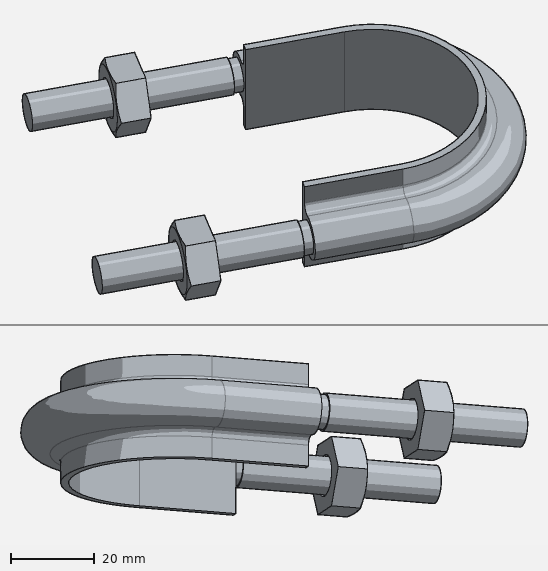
import cadquery as cq
import math

LEG_SPACING = 62.0
TIP_Y = -76.7

NECK_DIAMETER = 8.4
SHANK_DIAMETER = 9.2
SHANK_START_Y = -26.8

COVER_END_Y = -24.4
COVER_DIAMETER = 11.2
BAND_INNER_RADIUS = 25.2
BAND_THICKNESS = 1.9
BAND_HEIGHT = 25.0
BLEND_RADIUS = 2.0

NUT_ACROSS_FLATS = 17.0
NUT_THICKNESS = 7.9
NUT_BACK_Y = -48.9
NUT_BORE_DIAMETER = 10.0
NUT_FACE_DIAMETER = 16.4
NUT_CHAMFER_ANGLE = 20

BEND_RADIUS = LEG_SPACING / 2
BAND_OUTER_RADIUS = BAND_INNER_RADIUS + BAND_THICKNESS
NUT_ACROSS_CORNERS = NUT_ACROSS_FLATS / math.cos(math.radians(30))
LEG_POSITIONS = (-BEND_RADIUS, BEND_RADIUS)


def leg_plane(x, y):
    """Plane square to a leg axis, with its normal toward -Y and local X along +X."""
    return cq.Workplane(cq.Plane(origin=(x, y, 0), xDir=(1, 0, 0), normal=(0, -1, 0)))


def u_sweep(profile, end_y):
    """Carry a profile drawn on the left leg's end plane up the leg, round the bend and back."""
    path = (
        cq.Workplane("XY")
        .moveTo(-BEND_RADIUS, end_y)
        .lineTo(-BEND_RADIUS, 0)
        .threePointArc((0, BEND_RADIUS), (BEND_RADIUS, 0))
        .lineTo(BEND_RADIUS, end_y)
    )
    return profile.sweep(path)


def make_rod():
    """U-shaped rod with a thicker shank at each free end."""
    neck = leg_plane(-BEND_RADIUS, SHANK_START_Y).circle(NECK_DIAMETER / 2)
    rod = u_sweep(neck, SHANK_START_Y)
    for x in LEG_POSITIONS:
        shank = leg_plane(x, SHANK_START_Y).circle(SHANK_DIAMETER / 2).extrude(SHANK_START_Y - TIP_Y)
        rod = rod.union(shank)
    return rod


def cover_profile():
    """Ridge and band section on the left leg; local X is measured from the leg axis."""
    ridge = COVER_DIAMETER / 2
    band_outer = BEND_RADIUS - BAND_OUTER_RADIUS
    band_inner = BEND_RADIUS - BAND_INNER_RADIUS
    half_height = BAND_HEIGHT / 2

    blend_x = band_outer - BLEND_RADIUS
    blend_z = math.sqrt((ridge + BLEND_RADIUS) ** 2 - blend_x ** 2)
    ridge_share = ridge / (ridge + BLEND_RADIUS)
    touch_x = blend_x * ridge_share
    touch_z = blend_z * ridge_share
    middle_angle = math.atan2(-touch_z, -touch_x) / 2
    middle_x = blend_x + BLEND_RADIUS * math.cos(middle_angle)
    middle_drop = BLEND_RADIUS * math.sin(middle_angle)

    return (
        leg_plane(-BEND_RADIUS, COVER_END_Y)
        .moveTo(band_inner, -half_height)
        .lineTo(band_inner, half_height)
        .lineTo(band_outer, half_height)
        .lineTo(band_outer, blend_z)
        .threePointArc((middle_x, blend_z + middle_drop), (touch_x, touch_z))
        .threePointArc((-ridge, 0), (touch_x, -touch_z))
        .threePointArc((middle_x, -blend_z - middle_drop), (band_outer, -blend_z))
        .lineTo(band_outer, -half_height)
        .close()
    )


def make_cover():
    """Cover moulded round the rod, with a wide band on the inside of the U."""
    cover = u_sweep(cover_profile(), COVER_END_Y)
    bore = u_sweep(leg_plane(-BEND_RADIUS, COVER_END_Y).circle(NECK_DIAMETER / 2), COVER_END_Y)
    return cover.cut(bore)


def make_nut(x):
    """Hexagon nut with its corners chamfered on the face toward the leg tip."""
    nut = leg_plane(x, NUT_BACK_Y).polygon(6, NUT_ACROSS_CORNERS).extrude(NUT_THICKNESS)
    face_radius = NUT_FACE_DIAMETER / 2
    corner_radius = NUT_ACROSS_CORNERS / 2
    chamfer_drop = (corner_radius - face_radius) * math.tan(math.radians(NUT_CHAMFER_ANGLE))
    envelope = (
        cq.Workplane("XY", origin=(x, NUT_BACK_Y, 0))
        .lineTo(corner_radius, 0)
        .lineTo(corner_radius, chamfer_drop - NUT_THICKNESS)
        .lineTo(face_radius, -NUT_THICKNESS)
        .lineTo(0, -NUT_THICKNESS)
        .close()
        .revolve(360, (0, 0, 0), (0, 1, 0))
    )
    bore = leg_plane(x, NUT_BACK_Y).circle(NUT_BORE_DIAMETER / 2).extrude(NUT_THICKNESS)
    return nut.intersect(envelope).cut(bore)


rod = make_rod()
cover = make_cover()
nuts = [make_nut(x) for x in LEG_POSITIONS]

result = cq.Compound.makeCompound([rod.val(), cover.val(), *[nut.val() for nut in nuts]])